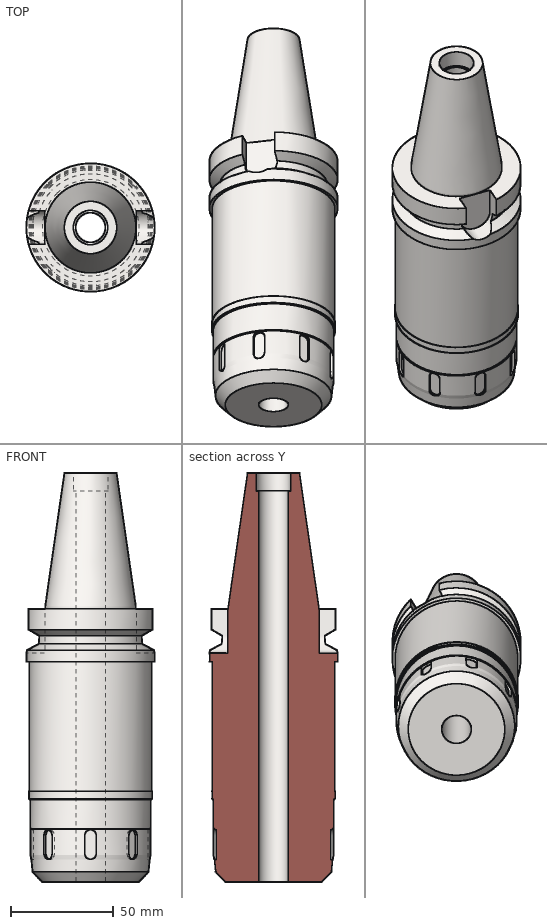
import cadquery as cq

TOTAL_LENGTH = 200.5
NOSE_CHAMFER_TOP = 5.0
NUT_BEVEL_BOTTOM = 11.0
NUT_BEVEL_TOP = 13.2
NUT_TOP = 26.3
BODY_BOTTOM = 40.9
BAND_TOP = 44.5
FLANGE_BOTTOM = 107.8
FLANGE_TOP = 133.9
TAPER_BASE = 135.0

NOSE_RADIUS = 23.6
NUT_FRONT_RADIUS = 28.5
NUT_BEVEL_RADIUS = 29.0
NUT_DIAMETER = 59.1
NUT_RADIUS = NUT_DIAMETER / 2
BAND_RADIUS = 30.3
BODY_RADIUS = 30.0
FLANGE_RADIUS = 31.5
TAPER_LARGE_RADIUS = 22.2
TAPER_SMALL_RADIUS = 12.8

GROOVE_BOTTOM = 113.6
GROOVE_TOP = 123.6
GROOVE_SLOPE_HEIGHT = 3.0
GROOVE_RADIUS = 26.5

RELIEF_HEIGHT = 0.5
RELIEF_DEPTH = 0.5
BAND_CHAMFER = 0.5

KEYWAY_WIDTH = 16.2
KEYWAY_DEPTH = 21.6
KEYWAY_FLOOR_DISTANCE = 22.5

SLOT_COUNT = 8
SLOT_WIDTH = 5.6
SLOT_LENGTH = 14.5
SLOT_CENTER_HEIGHT = 18.5
SLOT_FLOOR_DISTANCE = 28.0

BORE_RADIUS = 7.2
COUNTERBORE_RADIUS = 8.5
COUNTERBORE_DEPTH = 8.8

CUTTER_CLEARANCE = 2.0


def revolved_blank():
    """Solid holder turned about Z, from the nut nose up to the small taper end."""
    relief_radius = NUT_RADIUS - RELIEF_DEPTH
    profile = [
        (0, 0),
        (NOSE_RADIUS, 0),
        (NUT_FRONT_RADIUS, NOSE_CHAMFER_TOP),
        (NUT_BEVEL_RADIUS, NUT_BEVEL_BOTTOM),
        (NUT_RADIUS, NUT_BEVEL_TOP),
        (NUT_RADIUS, NUT_TOP - RELIEF_HEIGHT),
        (relief_radius, NUT_TOP - RELIEF_HEIGHT),
        (relief_radius, NUT_TOP),
        (NUT_RADIUS, NUT_TOP),
        (NUT_RADIUS, BODY_BOTTOM - BAND_CHAMFER),
        (BAND_RADIUS - BAND_CHAMFER, BODY_BOTTOM - BAND_CHAMFER),
        (BAND_RADIUS, BODY_BOTTOM),
        (BAND_RADIUS, BAND_TOP),
        (BODY_RADIUS, BAND_TOP),
        (BODY_RADIUS, FLANGE_BOTTOM),
        (FLANGE_RADIUS, FLANGE_BOTTOM),
        (FLANGE_RADIUS, GROOVE_BOTTOM),
        (GROOVE_RADIUS, GROOVE_BOTTOM + GROOVE_SLOPE_HEIGHT),
        (GROOVE_RADIUS, GROOVE_TOP - GROOVE_SLOPE_HEIGHT),
        (FLANGE_RADIUS, GROOVE_TOP),
        (FLANGE_RADIUS, FLANGE_TOP),
        (TAPER_LARGE_RADIUS, FLANGE_TOP),
        (TAPER_LARGE_RADIUS, TAPER_BASE),
        (TAPER_SMALL_RADIUS, TOTAL_LENGTH),
        (0, TOTAL_LENGTH),
    ]
    return cq.Workplane("XZ").polyline(profile).close().revolve(360, (0, 0, 0), (0, 1, 0))


def keyway_cutter():
    """Round-ended keyway on the +X side, open at the top of the flange."""
    half_width = KEYWAY_WIDTH / 2
    keyway_bottom = FLANGE_TOP - KEYWAY_DEPTH
    arc_start = keyway_bottom + half_width
    reach = FLANGE_RADIUS + CUTTER_CLEARANCE - KEYWAY_FLOOR_DISTANCE
    return (
        cq.Workplane("YZ", origin=(KEYWAY_FLOOR_DISTANCE, 0, 0))
        .moveTo(-half_width, FLANGE_TOP)
        .lineTo(-half_width, arc_start)
        .threePointArc((0, keyway_bottom), (half_width, arc_start))
        .lineTo(half_width, FLANGE_TOP)
        .close()
        .extrude(reach)
    )


def spanner_slot_cutter():
    """Upright round-ended slot with a flat floor, on the +X side of the nut."""
    reach = NUT_RADIUS + CUTTER_CLEARANCE - SLOT_FLOOR_DISTANCE
    return (
        cq.Workplane("YZ", origin=(SLOT_FLOOR_DISTANCE, 0, SLOT_CENTER_HEIGHT))
        .slot2D(SLOT_LENGTH, SLOT_WIDTH, 90)
        .extrude(reach)
    )


def cut_around_axis(body, cutter, count):
    """Cut evenly spaced copies of the cutter around Z."""
    for index in range(count):
        angle = index * 360 / count
        body = body.cut(cutter.rotate((0, 0, 0), (0, 0, 1), angle))
    return body


def cut_bore(body):
    """Bore through the whole length, widened at the small end of the taper."""
    bore = cq.Workplane("XY").circle(BORE_RADIUS).extrude(TOTAL_LENGTH)
    counterbore = (
        cq.Workplane("XY", origin=(0, 0, TOTAL_LENGTH))
        .circle(COUNTERBORE_RADIUS)
        .extrude(-COUNTERBORE_DEPTH)
    )
    return body.cut(bore).cut(counterbore)


holder = revolved_blank()
holder = cut_around_axis(holder, keyway_cutter(), 2)
holder = cut_around_axis(holder, spanner_slot_cutter(), SLOT_COUNT)
result = cut_bore(holder)